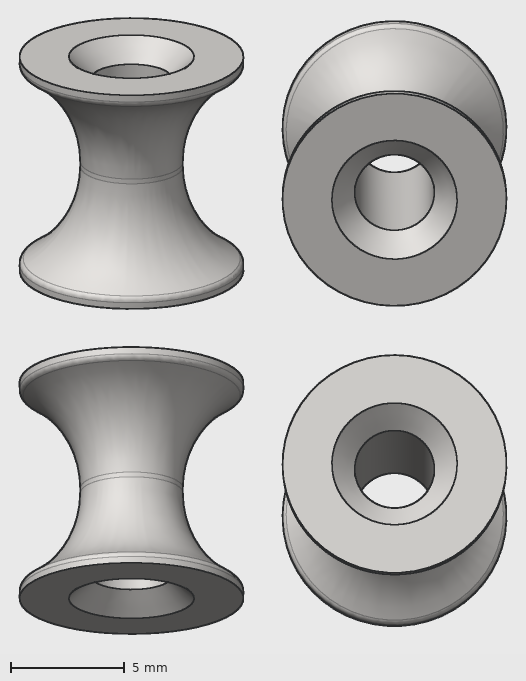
import cadquery as cq

height = 10.0
rim_diameter = 9.84
neck_diameter = 4.52
neck_length = 0.22
flare_radius = 4.98
rim_fillet = 0.3
bore_diameter = 3.5
mouth_chamfer = 1.0

rim_r = rim_diameter / 2
neck_r = neck_diameter / 2
half_height = height / 2
half_neck = neck_length / 2


def flare_height(radius):
    """Height above mid-height of the upper flare at a given radius."""
    from_centre = neck_r + flare_radius - radius
    return half_neck + (flare_radius**2 - from_centre**2) ** 0.5


def make_spool():
    rim_edge = flare_height(rim_r)
    mid_r = (neck_r + rim_r) / 2
    mid_z = flare_height(mid_r)
    profile = (
        cq.Workplane("XZ")
        .moveTo(0, -half_height)
        .lineTo(rim_r, -half_height)
        .lineTo(rim_r, -rim_edge)
        .threePointArc((mid_r, -mid_z), (neck_r, -half_neck))
        .lineTo(neck_r, half_neck)
        .threePointArc((mid_r, mid_z), (rim_r, rim_edge))
        .lineTo(rim_r, half_height)
        .lineTo(0, half_height)
        .close()
    )
    spool = profile.revolve(360, (0, 0, 0), (0, 1, 0)).translate((0, 0, half_height))
    for side in (-1, 1):
        edge_centre = (0, 0, half_height + side * rim_edge)
        spool = spool.edges(cq.selectors.NearestToPointSelector(edge_centre)).fillet(rim_fillet)
    return spool


def cut_bore(spool):
    bored = spool.faces(">Z").workplane().hole(bore_diameter)
    mouths = bored.faces("<Z or >Z").edges(cq.selectors.RadiusNthSelector(0))
    return mouths.chamfer(mouth_chamfer)


result = cut_bore(make_spool())